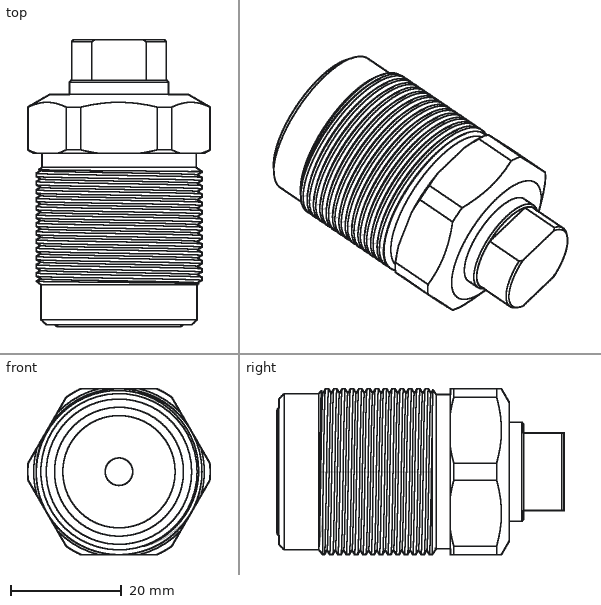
import cadquery as cq
import math


seal_protrusion = 0.35
barrel_end = 7.6
thread_end = 28.8
hex_front = 31.35
hex_back = 41.95
collar_end = 44.55
overall_length = 51.9

barrel_radius = 14.1
barrel_chamfer_length = 0.95
barrel_chamfer_depth = 1.0
thread_radius = 15.0
neck_radius = 13.95
collar_radius = 9.0
collar_chamfer = 0.35
shank_radius = 8.55
shank_chamfer_length = 0.4
shank_chamfer_depth = 0.3
shank_across_flats = 14.0

hex_across_flats = 30.0
hex_corner_radius = 16.5
hex_front_chamfer = 0.6
hex_back_chamfer = 2.3
hex_chamfer_slope = math.tan(math.radians(60))

groove_turns = 16
groove_length = 24.0
thread_pitch = groove_length / groove_turns
groove_width = 0.95
groove_depth = groove_width / 2 / math.tan(math.radians(30))
groove_overshoot = 0.15
groove_start = 6.45
thread_chamfer_length = 0.75

seal_centre_radius = 10.9
seal_section_diameter = 1.5
seal_section_radius = seal_section_diameter / 2
seal_centre_y = seal_section_radius
recess_floor = seal_section_diameter
bore_radius = 2.5
bore_depth = 7.8


def turned(points):
    """Revolve a profile of (radius, Y) points around the Y axis."""
    return cq.Workplane("XY").polyline(points).close().revolve(360, (0, 0, 0), (0, 1, 0))


def make_barrel():
    """Barrel, thread blank and neck in front of the hexagon."""
    return turned([
        (0, seal_protrusion),
        (barrel_radius - barrel_chamfer_depth, seal_protrusion),
        (barrel_radius, seal_protrusion + barrel_chamfer_length),
        (barrel_radius, barrel_end),
        (thread_radius, barrel_end + thread_chamfer_length),
        (thread_radius, thread_end - thread_chamfer_length),
        (neck_radius, thread_end),
        (neck_radius, hex_front),
        (0, hex_front),
    ])


def make_groove_turn():
    """One left-handed turn of the V groove, climbing from Y = 0."""
    root_radius = thread_radius - groove_depth
    mouth_radius = thread_radius + groove_overshoot
    half_mouth = groove_width / 2 * (mouth_radius - root_radius) / groove_depth
    path = cq.Wire.makeHelix(thread_pitch, thread_pitch, thread_radius, lefthand=True)
    turn = (
        cq.Workplane("XZ")
        .polyline([(root_radius, 0), (mouth_radius, half_mouth), (mouth_radius, -half_mouth)])
        .close()
        .sweep(cq.Workplane(obj=path), isFrenet=True)
    )
    return turn.rotate((0, 0, 0), (1, 0, 0), -90)


def cut_thread(blank):
    """Cut the groove turn by turn, running out past both ends of the thread."""
    turn = make_groove_turn()
    for index in range(groove_turns):
        blank = blank.cut(turn.translate((0, groove_start + index * thread_pitch, 0)))
    return blank


def make_hexagon():
    """Hexagon with flats at +Z and -Z and cone-chamfered corners."""
    length = hex_back - hex_front
    prism = (
        cq.Workplane("XZ", origin=(0, hex_back, 0))
        .polygon(6, hex_across_flats / math.cos(math.pi / 6))
        .extrude(length)
    )
    corner_envelope = turned([
        (0, hex_front),
        (hex_corner_radius - hex_front_chamfer * hex_chamfer_slope, hex_front),
        (hex_corner_radius, hex_front + hex_front_chamfer),
        (hex_corner_radius, hex_back - hex_back_chamfer),
        (hex_corner_radius - hex_back_chamfer * hex_chamfer_slope, hex_back),
        (0, hex_back),
    ])
    return prism.intersect(corner_envelope)


def make_collar():
    return turned([
        (0, hex_back),
        (collar_radius, hex_back),
        (collar_radius, collar_end - collar_chamfer),
        (collar_radius - collar_chamfer, collar_end),
        (0, collar_end),
    ])


def make_shank():
    """Rear shank with two wrench flats facing +Z and -Z."""
    length = overall_length - collar_end
    round_shank = turned([
        (0, collar_end),
        (shank_radius, collar_end),
        (shank_radius, overall_length - shank_chamfer_length),
        (shank_radius - shank_chamfer_depth, overall_length),
        (0, overall_length),
    ])
    flats = cq.Workplane("XY").box(2 * shank_radius, length, shank_across_flats)
    return round_shank.intersect(flats.translate((0, collar_end + length / 2, 0)))


def make_seal_recess():
    """Round recess whose floor and wall the seal ring touches."""
    return (
        cq.Workplane("XZ", origin=(0, recess_floor, 0))
        .circle(seal_centre_radius + seal_section_radius)
        .extrude(recess_floor - seal_protrusion)
    )


def make_bore():
    return (
        cq.Workplane("XZ", origin=(0, recess_floor + bore_depth, 0))
        .circle(bore_radius)
        .extrude(bore_depth)
    )


def make_housing():
    threaded_barrel = cut_thread(make_barrel())
    body = threaded_barrel.union(make_hexagon()).union(make_collar()).union(make_shank())
    return body.cut(make_seal_recess()).cut(make_bore())


def make_seal_ring():
    return (
        cq.Workplane("XY")
        .center(seal_centre_radius, seal_centre_y)
        .circle(seal_section_radius)
        .revolve(360, (-seal_centre_radius, 0, 0), (-seal_centre_radius, 1, 0))
    )


housing = make_housing()
seal_ring = make_seal_ring()

result = cq.Compound.makeCompound([housing.val(), seal_ring.val()])